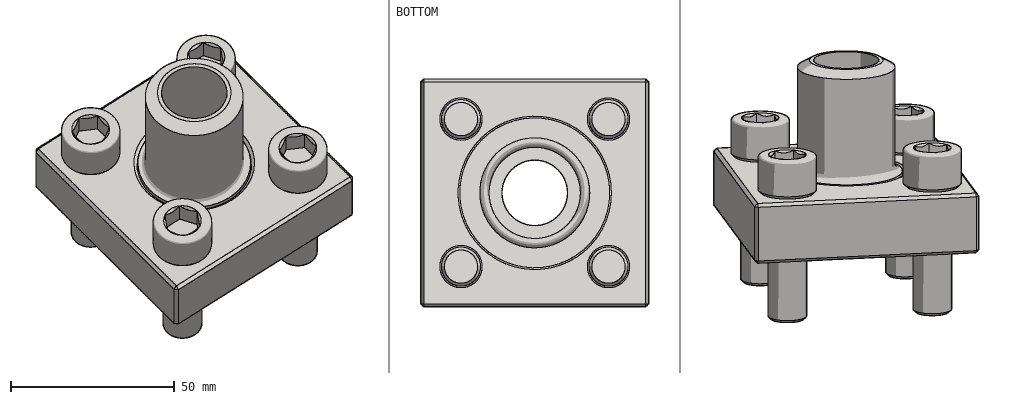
import cadquery as cq
import math

plate_side = 70.0
plate_thickness = 19.0
plate_chamfer = 1.0
plate_bottom = 21.0
plate_top = plate_bottom + plate_thickness
bore_diameter = 35.0

pipe_top = 75.0
pipe_diameter = 30.0
pipe_bore_diameter = 20.0
pipe_tip_diameter = 22.5
tip_bevel_angle = math.radians(30)
collar_diameter = 34.5
pipe_flange_diameter = 46.0
pipe_flange_projection = 1.6
pipe_flange_bottom = plate_bottom - pipe_flange_projection
recess_diameter = 47.0
recess_depth = 7.5

ring_inner_diameter = 28.0
ring_outer_diameter = 33.75
ring_projection = 1.1
ring_section = (ring_outer_diameter - ring_inner_diameter) / 2
groove_depth = ring_section - ring_projection

screw_spacing = 45.2
screw_diameter = 12.0
screw_hole_diameter = 13.0
screw_tip_chamfer = 0.9
head_diameter = 18.0
head_height = 12.0
head_top_fillet = 1.0
head_bottom_chamfer = 1.0
socket_across_flats = 10.0
socket_sides = 6
socket_corner_diameter = socket_across_flats / math.cos(math.pi / socket_sides)
socket_depth = 6.6


def cylinder(diameter, bottom, top):
    """Upright cylinder on the Z axis between two heights."""
    return cq.Workplane("XY").workplane(offset=bottom).circle(diameter / 2).extrude(top - bottom)


def make_plate():
    """Square chamfered plate with a stepped centre bore and four screw holes."""
    plate = (
        cq.Workplane("XY")
        .workplane(offset=plate_bottom)
        .rect(plate_side, plate_side)
        .extrude(plate_thickness)
        .edges()
        .chamfer(plate_chamfer)
    )
    screw_holes = (
        cq.Workplane("XY")
        .workplane(offset=plate_bottom)
        .rect(screw_spacing, screw_spacing, forConstruction=True)
        .vertices()
        .circle(screw_hole_diameter / 2)
        .extrude(plate_thickness)
    )
    plate = plate.cut(cylinder(bore_diameter, plate_bottom, plate_top))
    plate = plate.edges(cq.selectors.RadiusNthSelector(0)).edges(">Z").chamfer(plate_chamfer)
    plate = plate.cut(cylinder(recess_diameter, plate_bottom, plate_bottom + recess_depth))
    return plate.cut(screw_holes)


def make_pipe():
    """Flanged pipe with a bevelled tip, a filleted collar and an O-ring groove."""
    pipe_radius = pipe_diameter / 2
    collar_radius = collar_diameter / 2
    flange_radius = pipe_flange_diameter / 2
    bore_radius = pipe_bore_diameter / 2
    tip_radius = pipe_tip_diameter / 2
    bevel_height = (pipe_radius - tip_radius) * math.tan(tip_bevel_angle)
    fillet_radius = collar_radius - pipe_radius
    fillet_top = plate_top + fillet_radius
    flange_top = plate_bottom + recess_depth
    fillet_middle = fillet_radius * (1 - math.sqrt(0.5))

    pipe = (
        cq.Workplane("XZ")
        .moveTo(bore_radius, pipe_flange_bottom)
        .lineTo(flange_radius, pipe_flange_bottom)
        .lineTo(flange_radius, flange_top)
        .lineTo(collar_radius, flange_top)
        .lineTo(collar_radius, plate_top)
        .threePointArc((pipe_radius + fillet_middle, plate_top + fillet_middle), (pipe_radius, fillet_top))
        .lineTo(pipe_radius, pipe_top - bevel_height)
        .lineTo(tip_radius, pipe_top)
        .lineTo(bore_radius, pipe_top)
        .close()
        .revolve(360, (0, 0), (0, 1))
    )
    groove_top = pipe_flange_bottom + groove_depth
    groove = cylinder(ring_outer_diameter, pipe_flange_bottom, groove_top).cut(
        cylinder(ring_inner_diameter, pipe_flange_bottom, groove_top)
    )
    return pipe.cut(groove)


def make_o_ring():
    """Round-section ring that projects below the pipe flange."""
    centre_radius = (ring_inner_diameter + ring_section) / 2
    centre_height = pipe_flange_bottom - ring_projection + ring_section / 2
    return (
        cq.Workplane("XZ")
        .center(centre_radius, centre_height)
        .circle(ring_section / 2)
        .revolve(360, (-centre_radius, 0), (-centre_radius, 1))
    )


def make_screw(x, y, socket_angle):
    """Screw with its tip at Z = 0; a socket angle of 0 puts socket corners along X."""
    head_top = plate_top + head_height
    shank = cylinder(screw_diameter, 0, plate_top).faces("<Z").chamfer(screw_tip_chamfer)
    head = cylinder(head_diameter, plate_top, head_top)
    head = head.faces(">Z").edges().fillet(head_top_fillet)
    head = head.faces("<Z").edges().chamfer(head_bottom_chamfer)
    socket = (
        cq.Workplane("XY")
        .workplane(offset=head_top - socket_depth)
        .polygon(socket_sides, socket_corner_diameter)
        .extrude(socket_depth)
        .rotate((0, 0, 0), (0, 0, 1), socket_angle)
    )
    mouth_depth = (socket_corner_diameter - socket_across_flats) / 2
    mouth = (
        cq.Workplane("XY")
        .workplane(offset=head_top)
        .circle(socket_corner_diameter / 2)
        .workplane(offset=-mouth_depth)
        .circle(socket_across_flats / 2)
        .loft()
    )
    return shank.union(head).cut(socket).cut(mouth).translate((x, y, 0))


def make_screws():
    """Four screws, with sockets on one diagonal turned a quarter turn from those on the other."""
    screws = []
    for x_side in (-1, 1):
        for y_side in (-1, 1):
            socket_angle = 0 if x_side == y_side else 90
            screws.append(make_screw(x_side * screw_spacing / 2, y_side * screw_spacing / 2, socket_angle))
    return screws


plate = make_plate()
pipe = make_pipe()
o_ring = make_o_ring()
screws = make_screws()
result = cq.Compound.makeCompound(
    [plate.val(), pipe.val(), o_ring.val(), *[screw.val() for screw in screws]]
)